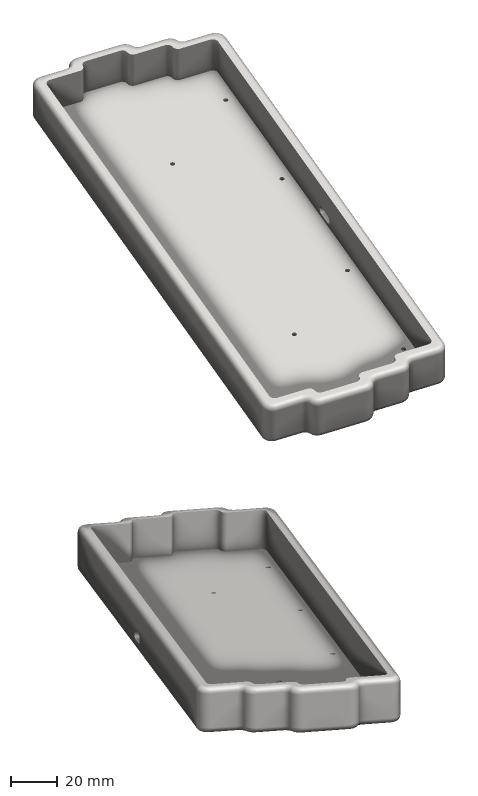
import cadquery as cq
import math

length = 250.0
width = 88.3
height = 20.5

step = 4.8
wall = 5.0
floor = 3.0
convex_radius = 5.0
concave_radius = 2.5
cavity_radius = 2.5
rim_radius = 2.5
shoulder_upper = 25.0
shoulder_middle = 6.0
shoulder_lower = -25.0

hole_diameter = 2.2
hole_row_y = 34.5
hole_outer_x = 90.3
hole_back_x = 33.3
hole_front_x = 30.5
hole_middle_x = 61.8
hole_middle_y = -3.8

slot_length = 10.0
slot_height = 4.0
slot_center_z = 6.8

half_length = length / 2
half_width = width / 2
x_wide = half_length
x_middle = x_wide - step
x_back = x_middle - step


def polar_point(center, radius, angle):
    return (center[0] + radius * math.cos(angle), center[1] + radius * math.sin(angle))


def add_shoulder(path, x_outer, y, convex, concave, narrowing):
    """Draw one S-shaped step of the right-hand end, walking toward +Y.

    Two tangent arcs of radius convex and concave together span the step in X.
    A narrowing shoulder steps inward on the way up, the other kind outward.
    """
    side = 1 if narrowing else -1
    sweep = math.acos(1 - step / (convex + concave))
    convex_center = (x_outer - convex, y - side * convex)
    concave_center = polar_point(convex_center, convex + concave, side * sweep)

    outer_end = (x_outer, convex_center[1])
    convex_middle = polar_point(convex_center, convex, side * sweep / 2)
    join = polar_point(convex_center, convex, side * sweep)
    concave_middle = polar_point(concave_center, concave, math.pi + side * sweep / 2)
    inner_end = (x_outer - step, concave_center[1])

    if narrowing:
        path = path.lineTo(*outer_end).threePointArc(convex_middle, join)
        return path.threePointArc(concave_middle, inner_end)
    path = path.lineTo(*inner_end).threePointArc(concave_middle, join)
    return path.threePointArc(convex_middle, outer_end)


def stepped_prism(inset, convex, concave):
    """Full-height prism of the stepped outline, moved inward by inset."""
    y_front = -half_width + inset
    y_back = half_width - inset
    path = cq.Workplane("XY").moveTo(0, y_front).lineTo(x_middle - inset, y_front)
    path = add_shoulder(path, x_wide - inset, shoulder_lower + inset, convex, concave, False)
    path = add_shoulder(path, x_wide - inset, shoulder_middle - inset, convex, concave, True)
    path = add_shoulder(path, x_middle - inset, shoulder_upper - inset, convex, concave, True)
    path = path.lineTo(x_back - inset, y_back).lineTo(0, y_back).close()
    half = path.extrude(height)
    prism = half.union(half.mirror("YZ")).clean()
    return prism.edges("|Z and (<Y or >Y)").fillet(convex)


def make_body():
    prism = stepped_prism(0, convex_radius, concave_radius)
    return prism.faces("<Z or >Z").edges().fillet(rim_radius)


def make_cavity():
    prism = stepped_prism(wall, cavity_radius, cavity_radius)
    return prism.translate((0, 0, floor))


def make_holes():
    hole_pairs = [
        (hole_outer_x, hole_row_y),
        (hole_back_x, hole_row_y),
        (hole_middle_x, hole_middle_y),
        (hole_front_x, -hole_row_y),
        (hole_outer_x, -hole_row_y),
    ]
    places = [(side * x, y) for x, y in hole_pairs for side in (-1, 1)]
    return cq.Workplane("XY").pushPoints(places).circle(hole_diameter / 2).extrude(height)


def make_slot():
    return (cq.Workplane("XZ", origin=(0, half_width, slot_center_z))
            .slot2D(slot_length, slot_height).extrude(wall))


result = make_body().cut(make_cavity()).cut(make_holes()).cut(make_slot())